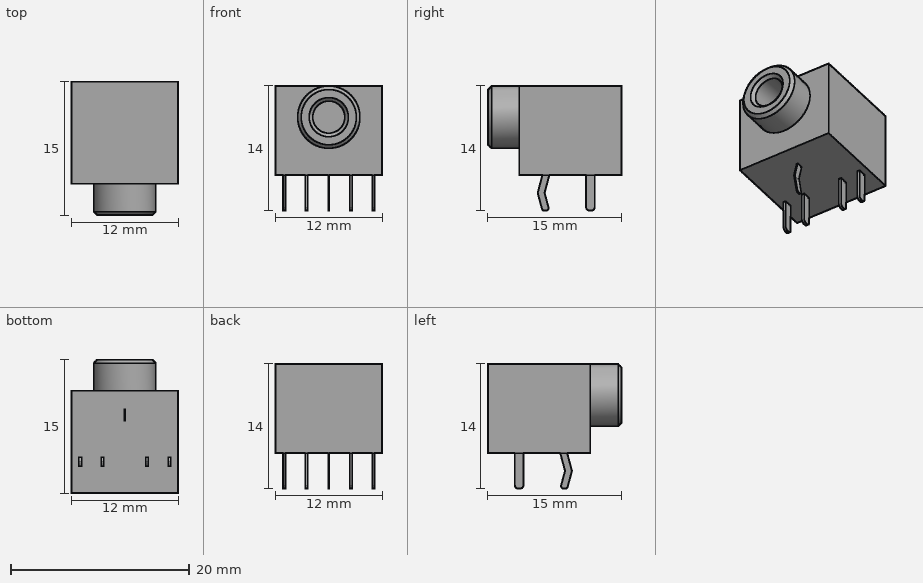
import cadquery as cq
import math

BODY_WIDTH = 12.0
BODY_DEPTH = 11.5
BODY_HEIGHT = 10.0

BARREL_DIAMETER = 7.0
BARREL_LENGTH = 3.5
BARREL_AXIS_Z = BODY_HEIGHT - BARREL_DIAMETER / 2
BORE_DIAMETER = 3.6
RIM_CHAMFER = 0.4

PIN_LENGTH = 4.0
PIN_PITCH = 2.5

STRAIGHT_PIN_COLUMNS = (-2, -1, 1, 2)
STRAIGHT_PIN_WIDTH = 1.0
STRAIGHT_PIN_THICKNESS = 0.3
STRAIGHT_PIN_Y = 8.0
STRAIGHT_PIN_TIP_RADIUS = 0.4

BENT_PIN_WIDTH = 0.8
BENT_PIN_THICKNESS = 0.15
BENT_PIN_X = 0.0
BENT_PIN_Y = 3.0
BENT_PIN_ANGLE = 15.0
BENT_PIN_TIP_RADIUS = 0.3


def make_body():
    return cq.Workplane("XY").box(
        BODY_WIDTH, BODY_DEPTH, BODY_HEIGHT, centered=(True, False, False)
    )


def make_barrel():
    """Tube in front of the housing, chamfered on both edges of its front rim."""
    return (
        cq.Workplane("XZ")
        .center(0, BARREL_AXIS_Z)
        .circle(BARREL_DIAMETER / 2)
        .circle(BORE_DIAMETER / 2)
        .extrude(BARREL_LENGTH)
        .faces("<Y")
        .chamfer(RIM_CHAMFER)
    )


def extrude_pin(outline, thickness, tip_radius, x):
    """Pin from a closed YZ outline, centred on x, with a rounded lower tip."""
    pin = outline.extrude(thickness / 2, both=True)
    return pin.faces("<Z").edges("|X").fillet(tip_radius).translate((x, 0, 0))


def make_straight_pin(x):
    outline = (
        cq.Workplane("YZ")
        .center(STRAIGHT_PIN_Y, -PIN_LENGTH / 2)
        .rect(STRAIGHT_PIN_WIDTH, PIN_LENGTH)
    )
    return extrude_pin(outline, STRAIGHT_PIN_THICKNESS, STRAIGHT_PIN_TIP_RADIUS, x)


def make_bent_pin():
    """Pin kinked towards the front at half its length."""
    rear_y = BENT_PIN_Y + BENT_PIN_WIDTH / 2
    front_y = BENT_PIN_Y - BENT_PIN_WIDTH / 2
    bend_z = -PIN_LENGTH / 2
    bend_shift = PIN_LENGTH / 2 * math.tan(math.radians(BENT_PIN_ANGLE))
    outline = (
        cq.Workplane("YZ")
        .moveTo(rear_y, 0)
        .lineTo(rear_y - bend_shift, bend_z)
        .lineTo(rear_y, -PIN_LENGTH)
        .lineTo(front_y, -PIN_LENGTH)
        .lineTo(front_y - bend_shift, bend_z)
        .lineTo(front_y, 0)
        .close()
    )
    return extrude_pin(outline, BENT_PIN_THICKNESS, BENT_PIN_TIP_RADIUS, BENT_PIN_X)


result = make_body().union(make_barrel())
for column in STRAIGHT_PIN_COLUMNS:
    result = result.union(make_straight_pin(column * PIN_PITCH))
result = result.union(make_bent_pin())